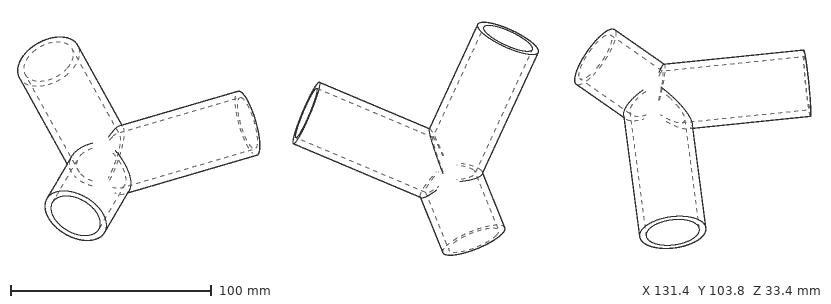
import cadquery as cq
import math

overall_width = 131.4
overall_depth = 103.8
outer_diameter = 33.4
bore_diameter = 26.7
branch_angle = 45.0

outer_radius = outer_diameter / 2
angle = math.radians(branch_angle)
branch_length = (overall_width / 2 - outer_radius * math.sin(angle)) / math.cos(angle)
branch_reach_y = branch_length * math.sin(angle) + outer_radius * math.cos(angle)
stem_length = overall_depth - branch_reach_y

arms = [
    (branch_angle, branch_length),
    (180 - branch_angle, branch_length),
    (-90, stem_length),
]


def joined_cylinders(diameter):
    """Solid cylinders along every arm, fused at the junction."""
    body = None
    for direction, length in arms:
        arm = (
            cq.Workplane("YZ")
            .circle(diameter / 2)
            .extrude(length)
            .rotate((0, 0, 0), (0, 0, 1), direction)
        )
        body = arm if body is None else body.union(arm)
    return body


result = joined_cylinders(outer_diameter).cut(joined_cylinders(bore_diameter))